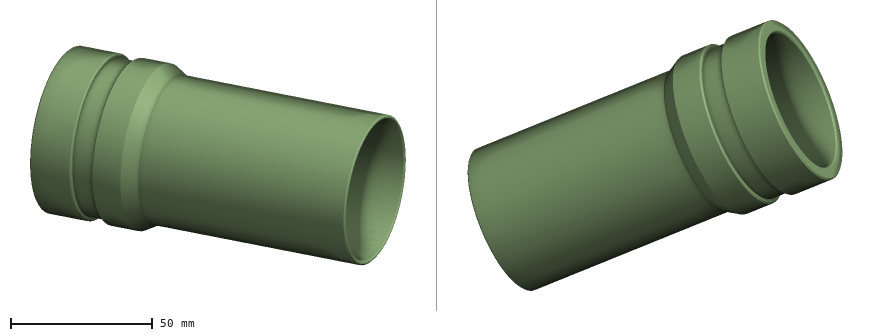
import cadquery as cq
import math

length = 120.0
collar_diameter = 60.3
groove_diameter = 57.1
pipe_diameter = 54.0
bore_diameter = 51.0

groove_start = 15.9
groove_width = 7.95
collar_length = 35.0
taper_angle = 30.0

edge_chamfer = 0.5

collar_radius = collar_diameter / 2
groove_radius = groove_diameter / 2
pipe_radius = pipe_diameter / 2
bore_radius = bore_diameter / 2
groove_end = groove_start + groove_width
taper_length = (collar_radius - pipe_radius) / math.tan(math.radians(taper_angle))
taper_end = collar_length + taper_length


def revolve_about_x(outline):
    """Turn a closed list of (x, radius) points about the X axis."""
    return cq.Workplane("XY").polyline(outline).close().revolve(360, (0, 0, 0), (1, 0, 0))


def make_body():
    """Solid turned body: chamfered collar with a groove, taper and plain pipe."""
    return revolve_about_x([
        (0, 0),
        (0, collar_radius - edge_chamfer),
        (edge_chamfer, collar_radius),
        (groove_start - edge_chamfer, collar_radius),
        (groove_start, collar_radius - edge_chamfer),
        (groove_start, groove_radius),
        (groove_end, groove_radius),
        (groove_end, collar_radius - edge_chamfer),
        (groove_end + edge_chamfer, collar_radius),
        (collar_length, collar_radius),
        (taper_end, pipe_radius),
        (length - edge_chamfer, pipe_radius),
        (length, pipe_radius - edge_chamfer),
        (length, 0),
    ])


def make_bore():
    """Through bore, chamfered at both mouths."""
    return revolve_about_x([
        (0, 0),
        (0, bore_radius + edge_chamfer),
        (edge_chamfer, bore_radius),
        (length - edge_chamfer, bore_radius),
        (length, bore_radius + edge_chamfer),
        (length, 0),
    ])


result = make_body().cut(make_bore())